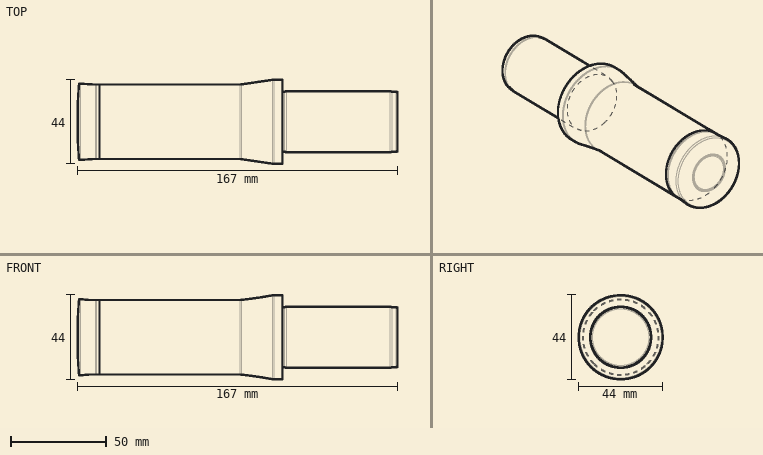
import cadquery as cq


overall_length = 167.0
shank_length = 60.0
tip_x = shank_length - overall_length
head_length = 11.3
joint_x = tip_x + head_length

tip_diameter = 40.0
body_diameter = 39.0
front_cone_height = 0.65
tip_round = 0.8
back_taper_length = 9.2
back_taper_drop = 0.54
step_length = 0.6
dish_rim_diameter = 20.4
dish_floor_diameter = 18.6
dish_depth = 0.1
dish_rim_round = 3.0

shoulder_diameter = 44.0
flare_start_x = tip_x + 85.0
flare_end_x = tip_x + 102.0
flare_round = 5.0
shoulder_round = 0.7

shank_diameter = 32.0
relief_diameter = 31.5
neck_length = 1.0
relief_taper_length = 1.0
end_relief_length = 3.0
shank_end_round = 1.0

MATCH_TOLERANCE = 1e-4


def turn(profile):
    """Revolve (x, radius) points, which start and end on the axis, about X."""
    outline = cq.Workplane("XY").polyline(profile).close()
    return outline.revolve(360, (0, 0, 0), (1, 0, 0))


def round_rim(body, x, diameter, radius):
    """Fillet the circular edge that lies at x and has the given diameter."""
    def is_rim(edge):
        if edge.geomType() != "CIRCLE":
            return False
        right_place = abs(edge.Center().x - x) < MATCH_TOLERANCE
        return right_place and abs(2 * edge.radius() - diameter) < MATCH_TOLERANCE

    return body.newObject(body.edges().filter(is_rim).vals()).fillet(radius)


def make_cutting_head():
    """Disc with a shallow coned and dished front and a back-tapered rim."""
    front_edge_x = tip_x + front_cone_height
    taper_end_x = tip_x + back_taper_length
    head = turn([
        (tip_x + dish_depth, 0),
        (tip_x + dish_depth, dish_floor_diameter / 2),
        (tip_x, dish_rim_diameter / 2),
        (front_edge_x, tip_diameter / 2),
        (taper_end_x, tip_diameter / 2 - back_taper_drop),
        (taper_end_x + step_length, body_diameter / 2),
        (joint_x, body_diameter / 2),
        (joint_x, 0),
    ])
    head = round_rim(head, tip_x, dish_rim_diameter, dish_rim_round)
    return round_rim(head, front_edge_x, tip_diameter, tip_round)


def make_holder():
    """Cylindrical body that flares to the shoulder, then the relieved shank."""
    neck_taper_end_x = neck_length + relief_taper_length
    end_relief_x = shank_length - end_relief_length
    holder = turn([
        (joint_x, 0),
        (joint_x, body_diameter / 2),
        (flare_start_x, body_diameter / 2),
        (flare_end_x, shoulder_diameter / 2),
        (0, shoulder_diameter / 2),
        (0, relief_diameter / 2),
        (neck_length, relief_diameter / 2),
        (neck_taper_end_x, shank_diameter / 2),
        (end_relief_x - relief_taper_length, shank_diameter / 2),
        (end_relief_x, relief_diameter / 2),
        (shank_length, relief_diameter / 2),
        (shank_length, 0),
    ])
    holder = round_rim(holder, flare_start_x, body_diameter, flare_round)
    holder = round_rim(holder, flare_end_x, shoulder_diameter, flare_round)
    holder = round_rim(holder, 0, shoulder_diameter, shoulder_round)
    return round_rim(holder, shank_length, relief_diameter, shank_end_round)


cutting_head = make_cutting_head()
holder = make_holder()

result = cq.Compound.makeCompound([cutting_head.val(), holder.val()])